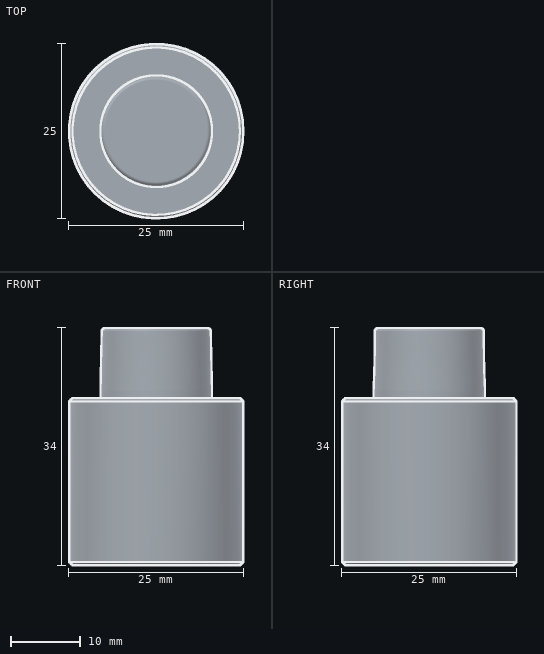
import cadquery as cq

total_height = 34.0
body_diameter = 25.0
body_height = 24.0
body_chamfer = 0.5

collar_diameter = 16.0
collar_height = 1.0
knob_top_diameter = 15.65
rim_radius = 0.5

collar_top = body_height + collar_height
head_height = total_height - collar_top


def make_body():
    """Cylinder chamfered at both ends."""
    body = cq.Workplane("XY").circle(body_diameter / 2).extrude(body_height)
    return body.faces("<Z or >Z").edges().chamfer(body_chamfer)


def make_knob():
    """Collar and tapered head standing on top of the body."""
    collar = (
        cq.Workplane("XY")
        .workplane(offset=body_height)
        .circle(collar_diameter / 2)
        .extrude(collar_height)
    )
    head = (
        cq.Workplane("XY")
        .workplane(offset=collar_top)
        .circle(collar_diameter / 2)
        .workplane(offset=head_height)
        .circle(knob_top_diameter / 2)
        .loft(ruled=True)
        .faces(">Z")
        .edges()
        .fillet(rim_radius)
    )
    return collar.union(head)


result = make_body().union(make_knob())